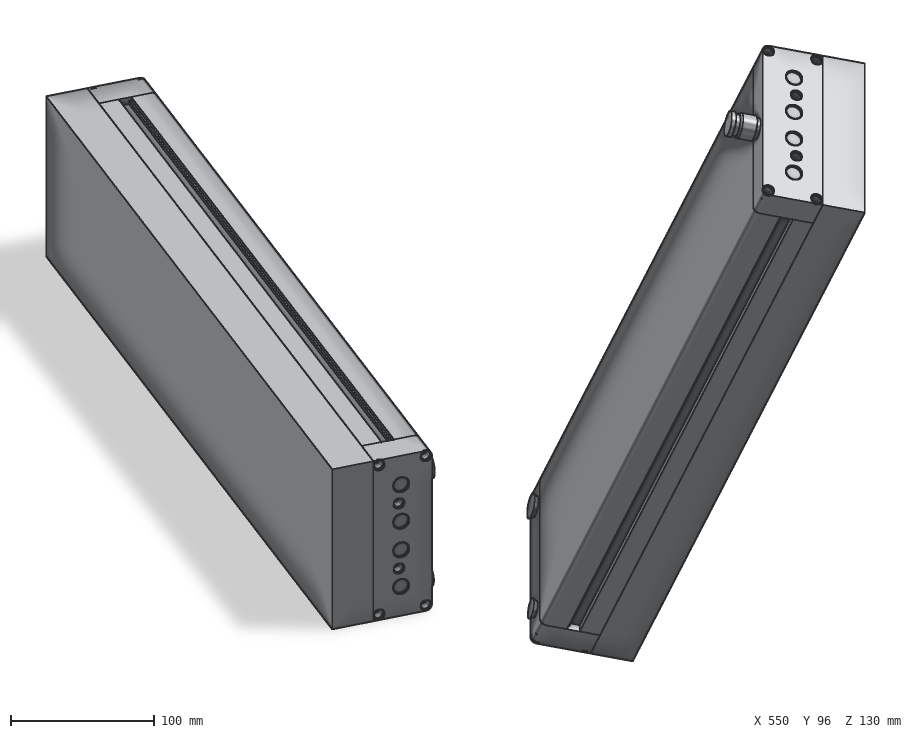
import cadquery as cq

LENGTH = 550.0
HEIGHT = 130.0
DEPTH = 75.0
TOTAL_DEPTH = 96.0
FOAM_DEPTH = 31.0
CAP_LENGTH = 22.5
BACK_RADIUS = 5.0

SLOT_FRONT_Y = 45.5
SLOT_BACK_Y = 53.5
SLOT_DEPTH = 5.5
LIP_WIDTH = 1.5
LIP_DEPTH = 3.0

PORT_DIAMETER = 11.0
PORT_RIM_DIAMETER = 12.0
PORT_RIM_DEPTH = 0.5
PORT_DEPTH = 1.5
PORT_Y = 51.5
PORT_HEIGHTS = (11.5, 41.0)
MOUNT_HOLE_Y = 50.0
MOUNT_HOLE_HEIGHT = 26.5
CORNER_HOLE_INSET = 4.5
SCREW_HOLE_DIAMETER = 6.5
SCREW_HOLE_DEPTH = 8.0
COUNTERBORE_DIAMETER = 8.0
COUNTERBORE_DEPTH = 1.5

BACK_PART_INSET = 12.0
FITTING_DIAMETER = 18.0
FITTING_CORE_DIAMETER = 15.5
FITTING_NECK_LENGTH = 3.0
FITTING_BODY_END = 15.0
FITTING_CHAMFER = 0.5
FITTING_CHAMFER_LENGTH = 1.5
FITTING_HEAD_START = 18.0
BUTTON_HEIGHT = 3.5
BUTTON_TAPER = 1.5
BUTTON_OFFSET_Z = 44.5
UPPER_BUTTON_DIAMETER = 18.0
LOWER_BUTTON_DIAMETER = 15.0

HALF_LENGTH = LENGTH / 2
HALF_HEIGHT = HEIGHT / 2
HOUSING_DEPTH = DEPTH - FOAM_DEPTH
BACK_PART_X = HALF_LENGTH - BACK_PART_INSET
FITTING_LENGTH = TOTAL_DEPTH - DEPTH


def housing_block(x_start, length):
    """Piece of the housing section: a rectangle with both back edges rounded."""
    return (
        cq.Workplane("XY")
        .box(length, HOUSING_DEPTH, HEIGHT, centered=(False, False, True))
        .edges("|X and >Y")
        .fillet(BACK_RADIUS)
        .translate((x_start, FOAM_DEPTH, 0))
    )


def end_holes(side, places, diameter, depth):
    """Blind holes drilled in from the end face at side * HALF_LENGTH."""
    return (
        cq.Workplane("YZ", origin=(side * HALF_LENGTH, 0, 0))
        .pushPoints(places)
        .circle(diameter / 2)
        .extrude(-side * depth)
    )


def back_cylinder(x, z, start, end, diameter):
    """Round boss along Y, between two distances from the back face."""
    return (
        cq.Workplane("XZ", origin=(x, DEPTH + start, z))
        .circle(diameter / 2)
        .extrude(start - end)
    )


def make_foam():
    return cq.Workplane("XY").box(LENGTH, FOAM_DEPTH, HEIGHT, centered=(True, False, True))


def make_profile():
    length = LENGTH - 2 * CAP_LENGTH
    profile = housing_block(-length / 2, length)
    slot_width = SLOT_BACK_Y - SLOT_FRONT_Y
    for side in (-1, 1):
        slot = cq.Workplane("XY").box(length, slot_width, 2 * SLOT_DEPTH)
        lip = cq.Workplane("XY").box(length, LIP_WIDTH, 2 * LIP_DEPTH)
        profile = profile.cut(slot.translate((0, SLOT_FRONT_Y + slot_width / 2, side * HALF_HEIGHT)))
        profile = profile.cut(lip.translate((0, SLOT_BACK_Y + LIP_WIDTH / 2, side * HALF_HEIGHT)))
    return profile


def make_cap(side):
    """End cap with its end-face holes; side is -1 at the -X end and 1 at the +X end."""
    cap = housing_block(min(side * HALF_LENGTH, side * (HALF_LENGTH - CAP_LENGTH)), CAP_LENGTH)
    ports = [(PORT_Y, sign * z) for z in PORT_HEIGHTS for sign in (-1, 1)]
    mounts = [(MOUNT_HOLE_Y, sign * MOUNT_HOLE_HEIGHT) for sign in (-1, 1)]
    corners = [
        (y, sign * (HALF_HEIGHT - CORNER_HOLE_INSET))
        for y in (FOAM_DEPTH + CORNER_HOLE_INSET, DEPTH - CORNER_HOLE_INSET)
        for sign in (-1, 1)
    ]
    cap = cap.cut(end_holes(side, ports, PORT_RIM_DIAMETER, PORT_RIM_DEPTH))
    cap = cap.cut(end_holes(side, ports, PORT_DIAMETER, PORT_DEPTH))
    cap = cap.cut(end_holes(side, mounts + corners, COUNTERBORE_DIAMETER, COUNTERBORE_DEPTH))
    return cap.cut(end_holes(side, mounts + corners, SCREW_HOLE_DIAMETER, SCREW_HOLE_DEPTH))


def add_fitting(cap):
    """Hose fitting: body and head on a thinner core that shows as a neck and a groove."""
    core = back_cylinder(-BACK_PART_X, 0, 0, FITTING_LENGTH, FITTING_CORE_DIAMETER)
    body = (
        back_cylinder(-BACK_PART_X, 0, FITTING_NECK_LENGTH, FITTING_BODY_END, FITTING_DIAMETER)
        .faces(">Y")
        .chamfer(FITTING_CHAMFER_LENGTH, FITTING_CHAMFER)
    )
    head = back_cylinder(-BACK_PART_X, 0, FITTING_HEAD_START, FITTING_LENGTH, FITTING_DIAMETER)
    return cap.union(core).union(body).union(head)


def add_button(cap, z, diameter):
    """Round button that widens from its foot to its outer face."""
    button = (
        cq.Workplane("XZ", origin=(BACK_PART_X, DEPTH, z))
        .circle(diameter / 2 - BUTTON_TAPER)
        .workplane(offset=-BUTTON_HEIGHT)
        .circle(diameter / 2)
        .loft()
    )
    return cap.union(button)


foam = make_foam()
profile = make_profile()
fitting_cap = add_fitting(make_cap(-1))
button_cap = add_button(make_cap(1), BUTTON_OFFSET_Z, UPPER_BUTTON_DIAMETER)
button_cap = add_button(button_cap, -BUTTON_OFFSET_Z, LOWER_BUTTON_DIAMETER)

result = cq.Compound.makeCompound([foam.val(), profile.val(), fitting_cap.val(), button_cap.val()])